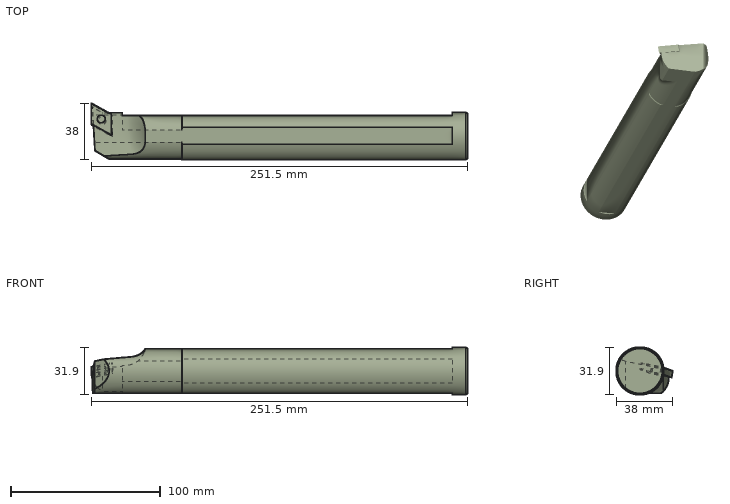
import cadquery as cq
import math

length = 251.5
shank_radius = 15.97
flat_width = 11.3
flat_height = math.sqrt(shank_radius**2 - (flat_width / 2) ** 2)
side_flat_offset = 13.8
collar_length = 10.5
flat_end_x = length - collar_length
chamfer_length = 1.5
chamfer_depth = 1.0

neck_end_x = 60.3
neck_radius = 15.45
neck_step = shank_radius - neck_radius

head_end_x = 20.9
head_side_y = 15.5
head_tip_y = 19.4
head_arc_top_z = -5.0
head_arc_mid = (17.47, -11.0)
head_arc_bottom_y = 14.0
face_outer_x = 0.8
face_inner_x = 2.5
bevel_y = -9.8
bevel_end_x = 12.0

rake_height = 4.4
slope_x = 0.1
slope_y = 0.2
gullet_skew = 0.11
gullet_start = 26.0
gullet_radius = 12.0

insert_tip_y = 22.0
insert_edge = 13.8
insert_width = 13.5
insert_skew = 7.5
insert_thickness = 4.5
insert_hole_diameter = 5.3
pocket_relief_radius = 1.0

clearance = 50.3


def rake_z(x, y):
    return rake_height + slope_x * x - slope_y * y


def rake_plane(turn=0.0):
    """Plane of the rake face, with its local X turned towards +Y by the given slope."""
    return cq.Plane(
        origin=(0, 0, rake_height),
        xDir=(1, turn, slope_x - slope_y * turn),
        normal=(-slope_x, slope_y, 1),
    )


def bar():
    """Stepped round bar with a small cone at the step and a chamfered rear end."""
    outline = [
        (0, 0),
        (0, neck_radius),
        (neck_end_x, neck_radius),
        (neck_end_x + neck_step, shank_radius),
        (length - chamfer_length, shank_radius),
        (length, shank_radius - chamfer_depth),
        (length, 0),
    ]
    return cq.Workplane("XY").polyline(outline).close().revolve(360, (0, 0, 0), (1, 0, 0))


def slab(start_x, y_min, z_min):
    """Block up to the rear collar that trims everything beyond one flat."""
    return cq.Workplane("XY").box(
        flat_end_x - start_x, clearance, clearance, centered=False
    ).translate((start_x, y_min, z_min))


def head_extension():
    """Outward bulge carrying the cutting tip, with a curved relief below it."""
    slant = insert_skew / insert_width
    shoulder_x = face_outer_x + (head_tip_y - head_side_y) / slant
    plan = [
        (face_outer_x, 0),
        (face_outer_x, head_tip_y),
        (shoulder_x, head_side_y),
        (head_end_x, head_side_y),
        (head_end_x, 0),
    ]
    block = cq.Workplane("XY").polyline(plan).close().extrude(flat_height, both=True)
    profile = (
        cq.Workplane("YZ")
        .moveTo(0, flat_height)
        .lineTo(head_tip_y, flat_height)
        .lineTo(head_tip_y, head_arc_top_z)
        .threePointArc(head_arc_mid, (head_arc_bottom_y, -flat_height))
        .lineTo(0, -flat_height)
        .close()
        .extrude(head_end_x)
    )
    return block.intersect(profile)


def front_trim():
    """Material ahead of the front face and the corner bevel."""
    outline = [
        (-clearance, head_tip_y),
        (face_outer_x, head_tip_y),
        (face_inner_x, bevel_y),
        (bevel_end_x, -neck_radius),
        (bevel_end_x, -clearance),
        (-clearance, -clearance),
    ]
    return cq.Workplane("XY").polyline(outline).close().extrude(clearance, both=True)


def gullet():
    """Space above the rake face, ending in a round run-out."""
    half_turn = math.sqrt(0.5) * gullet_radius
    side = rake_plane(gullet_skew)
    section_plane = cq.Plane(origin=side.origin, xDir=side.xDir, normal=-side.yDir)
    return (
        cq.Workplane(section_plane)
        .moveTo(-clearance, 0)
        .lineTo(gullet_start, 0)
        .threePointArc(
            (gullet_start + half_turn, gullet_radius - half_turn),
            (gullet_start + gullet_radius, gullet_radius),
        )
        .lineTo(gullet_start + gullet_radius, clearance)
        .lineTo(-clearance, clearance)
        .close()
        .extrude(clearance, both=True)
    )


def on_rake(x, y):
    """Local rake-plane coordinates of the point of the rake face above (x, y)."""
    local = rake_plane().toLocalCoords(cq.Vector(x, y, rake_z(x, y)))
    return (local.x, local.y)


def insert_blank():
    """Parallelogram plate below the rake plane, without its hole."""
    corners = [
        on_rake(0, insert_tip_y),
        on_rake(insert_width, insert_tip_y - insert_skew),
        on_rake(insert_width, insert_tip_y - insert_skew - insert_edge),
        on_rake(0, insert_tip_y - insert_edge),
    ]
    return cq.Workplane(rake_plane()).polyline(corners).close().extrude(-insert_thickness)


def locating_pin():
    """Round pin of the holder, flush with the insert top, at the insert centre."""
    centre = on_rake(insert_width / 2, insert_tip_y - (insert_skew + insert_edge) / 2)
    return (
        cq.Workplane(rake_plane())
        .center(*centre)
        .circle(insert_hole_diameter / 2)
        .extrude(-insert_thickness)
    )


def make_insert():
    return insert_blank().cut(locating_pin())


def pocket():
    """Seat of the insert, around the locating pin, with a round relief at its inner corner."""
    corner = on_rake(insert_width, insert_tip_y - insert_skew - insert_edge)
    relief = (
        cq.Workplane(rake_plane())
        .center(corner[0] - pocket_relief_radius / 2, corner[1] + pocket_relief_radius)
        .circle(pocket_relief_radius)
        .extrude(-insert_thickness)
    )
    return make_insert().union(relief)


def make_holder():
    body = bar()
    body = body.cut(slab(0, -clearance / 2, flat_height))
    body = body.cut(slab(0, -clearance / 2, -flat_height - clearance))
    body = body.cut(slab(head_end_x, side_flat_offset, -clearance / 2))
    body = body.union(head_extension())
    return body.cut(front_trim()).cut(gullet()).cut(pocket())


holder = make_holder()
cutting_insert = make_insert()
result = cq.Compound.makeCompound([holder.val(), cutting_insert.val()])